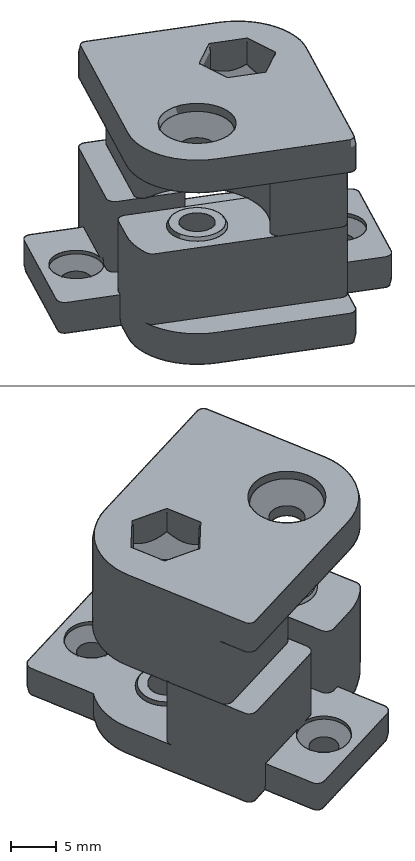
import cadquery as cq
import math

WIDTH = 28.27
DEPTH = 24.0
HEIGHT = 26.0
TAB_SPAN = 38.0
PLATE_THICKNESS = 4.03
JOINT_Z = HEIGHT / 2
CAP_Z = HEIGHT - PLATE_THICKNESS
LEG_HEIGHT = JOINT_Z - PLATE_THICKNESS

PIVOT_RADIUS = 8.0
CORNER_RADIUS = 1.0
RELIEF_HEIGHT = 0.9
RELIEF_INSET = 0.2

NUT_AXIS = (PIVOT_RADIUS - WIDTH / 2, DEPTH / 2 - PIVOT_RADIUS)
BOLT_AXIS = (-NUT_AXIS[0], -NUT_AXIS[1])
PIVOT_AXES = (NUT_AXIS, BOLT_AXIS)

LEG_RIGHT_RECESS = 3.45
CAP_LEG_FRONT_RECESS = 3.08
SLOT_WIDTH = 3.05
SLOT_RIGHT_X = NUT_AXIS[0] + PIVOT_RADIUS

PIVOT_HOLE_DIAMETER = 3.95
WASHER_BASE_DIAMETER = 6.7
WASHER_TOP_DIAMETER = 6.25
WASHER_HEIGHT = 0.4
BOLT_HEAD_DIAMETER = 8.15
NUT_ACROSS_FLATS = 7.15
NUT_SEAT_DEPTH = 5.32

TAB_WIDTH = 14.97
TAB_CENTER_X = -3.88
SCREW_SPACING = 29.8
SCREW_HOLE_DIAMETER = 3.25
SCREW_HEAD_DIAMETER = 6.0
SCREW_HEAD_RIM = 0.45
SCREW_CLEARANCE_HEIGHT = 2.65
SCREW_CLEARANCE_TOP_DIAMETER = 5.65


def plate_core():
    """Plate outline shrunk by the corner radius, with two large opposite corners."""
    half_x = WIDTH / 2 - CORNER_RADIUS
    half_y = DEPTH / 2 - CORNER_RADIUS
    radius = PIVOT_RADIUS - CORNER_RADIUS
    diagonal = radius * math.sqrt(0.5)
    return (
        cq.Workplane("XY")
        .moveTo(-half_x, -half_y)
        .lineTo(BOLT_AXIS[0], -half_y)
        .threePointArc((BOLT_AXIS[0] + diagonal, BOLT_AXIS[1] - diagonal), (half_x, BOLT_AXIS[1]))
        .lineTo(half_x, half_y)
        .lineTo(NUT_AXIS[0], half_y)
        .threePointArc((NUT_AXIS[0] - diagonal, NUT_AXIS[1] + diagonal), (-half_x, NUT_AXIS[1]))
        .close()
    )


def block(x_min, x_max, y_min, y_max, height):
    corner = cq.Workplane("XY", origin=(x_min, y_min, 0))
    return corner.box(x_max - x_min, y_max - y_min, height, centered=False)


def cone(center, z, bottom_diameter, top_diameter, height):
    axis_point = cq.Vector(center[0], center[1], z)
    return cq.Workplane(cq.Solid.makeCone(bottom_diameter / 2, top_diameter / 2, height, pnt=axis_point))


def cylinder(center, z, diameter, height):
    return cq.Workplane("XY", origin=(*center, z)).circle(diameter / 2).extrude(height)


def plate():
    """Full plate standing on Z = 0, with its lower edge still sharp."""
    return plate_core().offset2D(CORNER_RADIUS).extrude(PLATE_THICKNESS)


def relieve_edge(body, face):
    return body.faces(face).chamfer(RELIEF_HEIGHT, RELIEF_INSET)


def leg(core, z):
    """Grow a shrunken leg by the corner radius, which rounds all of its outer corners."""
    grown = cq.Workplane("XY")
    for wire in core.faces("<Z").wires().vals():
        outline = cq.Workplane("XY").add(wire).toPending().offset2D(CORNER_RADIUS)
        grown = grown.add(outline.extrude(LEG_HEIGHT))
    return grown.combine().translate((0, 0, z))


def leg_core(pocket_axis):
    """Shrunken leg: the plate outline less the right recess and the round pocket of one pivot."""
    right_x = WIDTH / 2 - LEG_RIGHT_RECESS - CORNER_RADIUS
    recess = block(right_x, WIDTH, -DEPTH, DEPTH, LEG_HEIGHT)
    pocket = cylinder(pocket_axis, 0, 2 * (PIVOT_RADIUS + CORNER_RADIUS), LEG_HEIGHT)
    return plate_core().extrude(LEG_HEIGHT).cut(recess).cut(pocket)


def base_legs():
    """Front block and bolt pillar, parted by a slot that leads into the nut-side pocket."""
    slot_left = SLOT_RIGHT_X - SLOT_WIDTH - CORNER_RADIUS
    slot_right = SLOT_RIGHT_X + CORNER_RADIUS
    slot = block(slot_left, slot_right, -DEPTH, NUT_AXIS[1], LEG_HEIGHT)
    return leg(leg_core(NUT_AXIS).cut(slot), PLATE_THICKNESS)


def cap_leg():
    """Single leg of the cap, set back at the front and hollowed around the bolt."""
    front_y = -DEPTH / 2 + CAP_LEG_FRONT_RECESS + CORNER_RADIUS
    front_recess = block(-WIDTH, WIDTH, -DEPTH, front_y, LEG_HEIGHT)
    return leg(leg_core(BOLT_AXIS).cut(front_recess), JOINT_Z)


def washer_above(axis, z):
    return cone(axis, z, WASHER_BASE_DIAMETER, WASHER_TOP_DIAMETER, WASHER_HEIGHT)


def washer_below(axis, z):
    return cone(axis, z - WASHER_HEIGHT, WASHER_TOP_DIAMETER, WASHER_BASE_DIAMETER, WASHER_HEIGHT)


def drill_pivots(body):
    for axis in PIVOT_AXES:
        body = body.cut(cylinder(axis, 0, PIVOT_HOLE_DIAMETER, HEIGHT))
    return body


def tabs():
    """Strip through the base plate whose two ends stick out as screw tabs."""
    return (
        cq.Workplane("XY")
        .center(TAB_CENTER_X, 0)
        .rect(TAB_WIDTH - 2 * CORNER_RADIUS, TAB_SPAN - 2 * CORNER_RADIUS)
        .offset2D(CORNER_RADIUS)
        .extrude(PLATE_THICKNESS)
    )


def screw_cutter(center):
    """Countersunk hole with a slightly tapered clearance for the head above the tab."""
    sink_height = (SCREW_HEAD_DIAMETER - SCREW_HOLE_DIAMETER) / 2
    rim_z = PLATE_THICKNESS - SCREW_HEAD_RIM
    hole = cylinder(center, 0, SCREW_HOLE_DIAMETER, PLATE_THICKNESS)
    sink = cone(center, rim_z - sink_height, SCREW_HOLE_DIAMETER, SCREW_HEAD_DIAMETER, sink_height)
    rim = cylinder(center, rim_z, SCREW_HEAD_DIAMETER, SCREW_HEAD_RIM)
    clearance = cone(
        center, PLATE_THICKNESS, SCREW_HEAD_DIAMETER, SCREW_CLEARANCE_TOP_DIAMETER, SCREW_CLEARANCE_HEIGHT
    )
    return hole.union(sink).union(rim).union(clearance)


def bolt_seat():
    """90 degree countersink with a flared mouth at the top of the cap."""
    sink_height = (BOLT_HEAD_DIAMETER - PIVOT_HOLE_DIAMETER) / 2
    mouth_z = HEIGHT - RELIEF_HEIGHT
    sink = cone(BOLT_AXIS, mouth_z - sink_height, PIVOT_HOLE_DIAMETER, BOLT_HEAD_DIAMETER, sink_height)
    mouth = cone(BOLT_AXIS, mouth_z, BOLT_HEAD_DIAMETER, BOLT_HEAD_DIAMETER + 2 * RELIEF_INSET, RELIEF_HEIGHT)
    return sink.union(mouth)


def hexagon(z, across_flats):
    """Hexagon on the nut axis with two of its flats facing along X."""
    return cq.Workplane("XY", origin=(*NUT_AXIS, z)).polygon(6, across_flats, circumscribed=True)


def nut_seat():
    """Hexagonal nut pocket with a flared mouth and a 45 degree conical floor."""
    seat_z = HEIGHT - NUT_SEAT_DEPTH
    mouth_z = HEIGHT - RELIEF_HEIGHT
    prism = hexagon(seat_z, NUT_ACROSS_FLATS).extrude(NUT_SEAT_DEPTH)
    floor_cone = cone(
        NUT_AXIS, seat_z, PIVOT_HOLE_DIAMETER, PIVOT_HOLE_DIAMETER + 2 * NUT_SEAT_DEPTH, NUT_SEAT_DEPTH
    )
    flare_angle = math.degrees(math.atan2(RELIEF_INSET, RELIEF_HEIGHT))
    mouth = hexagon(mouth_z, NUT_ACROSS_FLATS).extrude(RELIEF_HEIGHT, taper=-flare_angle)
    return prism.intersect(floor_cone).union(mouth)


def make_base():
    body = relieve_edge(plate(), "<Z").union(relieve_edge(tabs(), "<Z"))
    body = body.union(base_legs())
    body = body.union(washer_above(NUT_AXIS, PLATE_THICKNESS))
    body = body.union(washer_above(BOLT_AXIS, JOINT_Z))
    for y in (-SCREW_SPACING / 2, SCREW_SPACING / 2):
        body = body.cut(screw_cutter((TAB_CENTER_X, y)))
    return drill_pivots(body)


def make_cap():
    body = relieve_edge(plate().translate((0, 0, CAP_Z)), ">Z")
    body = body.union(cap_leg())
    body = body.union(washer_below(BOLT_AXIS, CAP_Z))
    body = body.union(washer_below(NUT_AXIS, JOINT_Z))
    return drill_pivots(body.cut(bolt_seat()).cut(nut_seat()))


base = make_base()
cap = make_cap()
result = cq.Compound.makeCompound([base.solids().val(), cap.solids().val()])